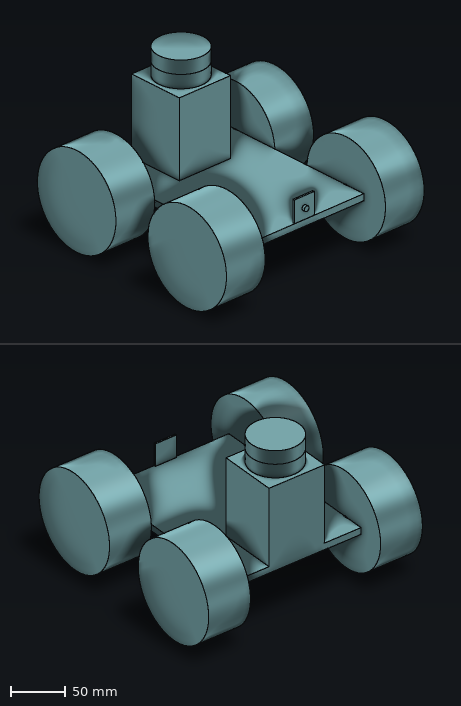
import cadquery as cq

overall_length = 257.0
overall_width = 250.0
overall_height = 174.0

wheel_diameter = 107.0
wheel_width = 49.0
axle_diameter = 7.0
wheel_base = overall_length - wheel_diameter
wheel_inner_y = overall_width / 2 - wheel_width

plate_length = 200.0
plate_width = 150.0
plate_thickness = 7.5
plate_top = plate_thickness / 2
axle_length = wheel_inner_y - plate_width / 2

tower_side = 65.0
tower_top = 90.5
tower_x = (tower_side - plate_length) / 2

turret_diameter = 56.0
turret_top = overall_height - wheel_diameter / 2
turret_half_height = (turret_top - tower_top) / 2

board_thickness = 2.0
board_width = 25.0
board_height = 25.0
lens_diameter = 6.0
lens_length = 3.0


def turret_disc(bottom):
    """One half of the turret, standing on the given height."""
    return (
        cq.Workplane("XY", origin=(tower_x, 0, bottom))
        .circle(turret_diameter / 2)
        .extrude(turret_half_height)
    )


def make_chassis():
    """Plate, tower and fixed turret base in one piece."""
    plate = cq.Workplane("XY").box(plate_length, plate_width, plate_thickness)
    tower = (
        cq.Workplane("XY", origin=(tower_x, 0, -plate_top))
        .rect(tower_side, tower_side)
        .extrude(plate_top + tower_top)
    )
    return plate.union(tower).union(turret_disc(tower_top))


def make_wheel(x, side):
    """Wheel with a stub axle reaching the plate; side is +1 or -1 along Y."""
    outward = cq.Vector(0, side, 0)
    wheel = cq.Solid.makeCylinder(
        wheel_diameter / 2, wheel_width, cq.Vector(x, side * wheel_inner_y, 0), outward
    )
    axle = cq.Solid.makeCylinder(
        axle_diameter / 2, axle_length, cq.Vector(x, side * plate_width / 2, 0), outward
    )
    return cq.Workplane(wheel).union(cq.Workplane(axle))


def make_camera():
    """Board standing on the plate, its face flush with the plate edge."""
    front_x = plate_length / 2
    board = (
        cq.Workplane("XY", origin=(front_x - board_thickness / 2, 0, plate_top))
        .rect(board_thickness, board_width)
        .extrude(board_height)
    )
    lens = (
        cq.Workplane("YZ", origin=(front_x, 0, plate_top + board_height / 2))
        .circle(lens_diameter / 2)
        .extrude(lens_length)
    )
    return board.union(lens)


chassis = make_chassis()
turret_head = turret_disc(tower_top + turret_half_height)
camera = make_camera()
wheels = [
    make_wheel(x, side)
    for x in (-wheel_base / 2, wheel_base / 2)
    for side in (-1, 1)
]

result = cq.Compound.makeCompound(
    [chassis.val(), turret_head.val(), camera.val(), *[wheel.val() for wheel in wheels]]
)